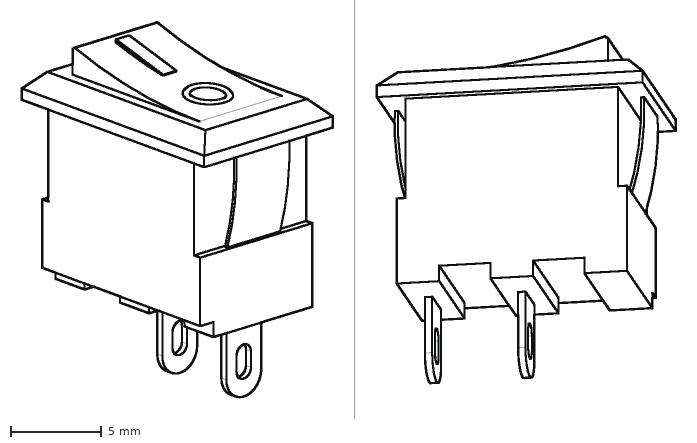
import cadquery as cq
import math


BEZEL_LENGTH = 14.97
BEZEL_WIDTH = 9.62
BEZEL_RIM_HEIGHT = 0.67
BEZEL_BEVEL = 1.0
BEZEL_TOP = BEZEL_RIM_HEIGHT + BEZEL_BEVEL

TOTAL_HEIGHT = 18.46
ROCKER_TOP = 3.3
TERMINAL_TIP = ROCKER_TOP - TOTAL_HEIGHT

BODY_WIDTH = 8.4
NECK_LENGTH = 11.97
BASE_LENGTH = 12.97
NECK_BOTTOM = -5.72
BASE_BOTTOM = -9.74

FOOT_LENGTH = 2.4
FOOT_BOTTOM = -10.63
FOOT_SETBACK = 1.0
FOOT_PITCH = (BASE_LENGTH - FOOT_LENGTH) / 2

TERMINAL_THICKNESS = 0.42
TERMINAL_WIDTH = 2.62
TERMINAL_RADIUS = TERMINAL_WIDTH / 2
TERMINAL_PITCH = 5.25
SLOT_WIDTH = 1.07
SLOT_HEIGHT = 2.0
SLOT_TIP_WALL = 1.06

CLIP_WIDTH = 3.95
CLIP_THICKNESS = 0.19
CLIP_TOP_X = 7.02
CLIP_MIDDLE_X = 6.9
CLIP_BOTTOM_X = 6.27

ROCKER_LENGTH = 10.4
ROCKER_WIDTH = 6.18
ROCKER_END = ROCKER_LENGTH / 2
ROCKER_CHAMFER_LENGTH = 0.17
ROCKER_CHAMFER_HEIGHT = 0.11
ROCKER_CREST_X = -ROCKER_END + ROCKER_CHAMFER_LENGTH
CURVE_RUN = ROCKER_END - ROCKER_CREST_X
CURVE_RISE = ROCKER_TOP - BEZEL_TOP
CURVE_RADIUS = (CURVE_RUN**2 + CURVE_RISE**2) / (2 * CURVE_RISE)

BAR_WIDTH = 1.0
BAR_LENGTH = 4.0
BAR_THICKNESS = 0.4
BAR_START_X = -4.48
BAR_START_Z = ROCKER_TOP
BAR_TILT = 15.3

RING_X = 2.51
RING_RADIUS = 1.2
RING_SECTION_RADIUS = 0.2
RING_SINK = 0.03


def rocker_surface(x):
    """Height of the concave rocker top at x."""
    return BEZEL_TOP + CURVE_RADIUS - math.sqrt(CURVE_RADIUS**2 - (ROCKER_END - x) ** 2)


def block(length, width, bottom, top, x=0, y=0):
    """Box centred at (x, y), spanning bottom to top in Z."""
    box = cq.Workplane("XY").box(length, width, top - bottom, centered=(True, True, False))
    return box.translate((x, y, bottom))


def extrude_across(profile, width):
    """Extrude a closed XZ profile symmetrically about Y = 0."""
    return profile.close().extrude(width / 2, both=True)


def make_bezel():
    plate = block(BEZEL_LENGTH, BEZEL_WIDTH, 0, BEZEL_TOP)
    return plate.faces(">Z").edges().chamfer(BEZEL_BEVEL)


def make_body():
    neck = block(NECK_LENGTH, BODY_WIDTH, NECK_BOTTOM, 0)
    base = block(BASE_LENGTH, BODY_WIDTH, BASE_BOTTOM, NECK_BOTTOM)
    body = neck.union(base)
    for step in (-1, 0, 1):
        foot = block(
            FOOT_LENGTH,
            BODY_WIDTH - FOOT_SETBACK,
            FOOT_BOTTOM,
            BASE_BOTTOM,
            x=step * FOOT_PITCH,
            y=FOOT_SETBACK / 2,
        )
        body = body.union(foot)
    return body


def make_terminal(x):
    tip_centre = TERMINAL_TIP + TERMINAL_RADIUS
    slot_centre = TERMINAL_TIP + SLOT_TIP_WALL + SLOT_HEIGHT / 2
    blade = (
        cq.Workplane("YZ")
        .moveTo(-TERMINAL_RADIUS, FOOT_BOTTOM)
        .lineTo(-TERMINAL_RADIUS, tip_centre)
        .threePointArc((0, TERMINAL_TIP), (TERMINAL_RADIUS, tip_centre))
        .lineTo(TERMINAL_RADIUS, FOOT_BOTTOM)
        .close()
        .extrude(TERMINAL_THICKNESS / 2, both=True)
    )
    slot = (
        cq.Workplane("YZ")
        .center(0, slot_centre)
        .slot2D(SLOT_HEIGHT, SLOT_WIDTH, 90)
        .extrude(TERMINAL_THICKNESS, both=True)
    )
    return blade.cut(slot).translate((x, 0, 0))


def make_clip():
    """Clip on the +X side."""
    middle_z = NECK_BOTTOM / 2
    profile = (
        cq.Workplane("XZ")
        .moveTo(CLIP_TOP_X, 0)
        .threePointArc((CLIP_MIDDLE_X, middle_z), (CLIP_BOTTOM_X, NECK_BOTTOM))
        .lineTo(CLIP_BOTTOM_X - CLIP_THICKNESS, NECK_BOTTOM)
        .threePointArc((CLIP_MIDDLE_X - CLIP_THICKNESS, middle_z), (CLIP_TOP_X - CLIP_THICKNESS, 0))
    )
    return extrude_across(profile, CLIP_WIDTH)


def make_rocker():
    curve_middle_x = (ROCKER_CREST_X + ROCKER_END) / 2
    profile = (
        cq.Workplane("XZ")
        .moveTo(-ROCKER_END, 0)
        .lineTo(-ROCKER_END, ROCKER_TOP - ROCKER_CHAMFER_HEIGHT)
        .lineTo(ROCKER_CREST_X, ROCKER_TOP)
        .threePointArc((curve_middle_x, rocker_surface(curve_middle_x)), (ROCKER_END, BEZEL_TOP))
        .lineTo(ROCKER_END, 0)
    )
    return extrude_across(profile, ROCKER_WIDTH)


def make_bar():
    bar = cq.Workplane("XY").box(BAR_LENGTH, BAR_WIDTH, BAR_THICKNESS, centered=(False, True, False))
    bar = bar.translate((0, 0, -BAR_THICKNESS)).rotate((0, 0, 0), (0, 1, 0), BAR_TILT)
    return bar.translate((BAR_START_X, 0, BAR_START_Z))


def make_ring():
    """Torus partly sunk in the rocker top, square to the surface there."""
    tilt = math.degrees(math.asin((ROCKER_END - RING_X) / CURVE_RADIUS))
    torus = cq.Workplane(cq.Solid.makeTorus(RING_RADIUS, RING_SECTION_RADIUS))
    torus = torus.rotate((0, 0, 0), (0, 1, 0), tilt)
    return torus.translate((RING_X, 0, rocker_surface(RING_X) - RING_SINK))


clip = make_clip()
result = make_bezel().union(make_body()).union(make_rocker())
result = result.union(clip).union(clip.mirror("YZ"))
for terminal_x in (0, TERMINAL_PITCH):
    result = result.union(make_terminal(terminal_x))
result = result.union(make_bar()).union(make_ring())